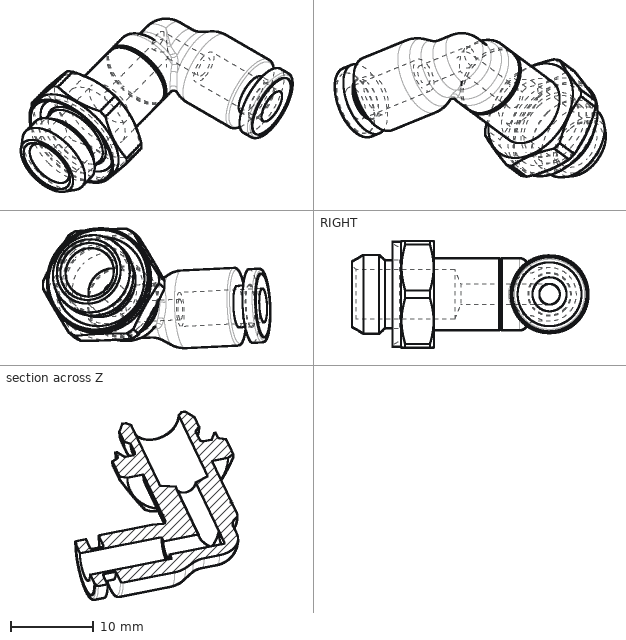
import cadquery as cq
import math

elbow_radius = 3.25

stem_radius = 8.8 / 2
shoulder_start = 1.6
shoulder_angle = 59.0
shoulder_hollow_radius = 1.4
elbow_end = 6.05
elbow_end_chamfer = 0.3
elbow_end_chamfer_depth = 0.12
stem_edge_chamfer = 0.1
stem_end = 24.0

hex_across_flats = 13.0
hex_corner_diameter = 14.5
hex_start = 14.03
hex_end = 18.03
hex_bevel_angle = 30.0
hex_face_radius = 12.8 / 2
collar_radius = hex_face_radius
collar_end = 19.1
recess_mouth_radius = 6.18
recess_floor_radius = 5.52
recess_depth = 1.12

thread_radius = 9.6 / 2
thread_neck_radius = 8.3 / 2
neck_root_bevel = 0.25
thread_start = 20.0
thread_back_bevel = 0.7
nose_radius = 4.0
nose_length = 1.38

arm_radius = 9.5 / 2
flare_start = 1.95
flare_angle = 30.0
flare_bend_radius = 3.0
arm_end = 12.97
arm_end_edge_radius = 0.25
arm_neck_radius = 5.05 / 2
ring_radius = 9.0 / 2
ring_start = 14.58
arm_tip = 16.1
ring_edge_radius = 0.23
lip_radius = 3.88
lip_height = 0.1
arm_root_chamfer = 0.12

crease_fillet = 0.5

bore_radius = 6.0 / 2
bore_mouth_radius = 3.55
bore_mouth_depth = 0.52
bore_end = 11.5
bore_cone_length = 0.72
passage_radius = 2.5 / 2
socket_radius = 4.15 / 2
socket_start = 5.75


def arc_step(angle, radius):
    """Axial and radial travel of an arc that turns from the axis direction by the angle."""
    turn = math.radians(angle)
    return radius * math.sin(turn), radius * (1 - math.cos(turn))


def revolve_stem(profile):
    """Solid of revolution about the stem axis."""
    return profile.close().revolve(360, (0, 0, 0), (0, 1, 0))


def revolve_arm(profile):
    """Solid of revolution about the arm axis."""
    return profile.close().revolve(360, (0, 0, 0), (1, 0, 0))


def elbow_stem():
    """Round end and necked shoulder of the elbow, down to its end on the stem."""
    hollow_run, hollow_rise = arc_step(shoulder_angle, shoulder_hollow_radius)
    half_hollow_run, half_hollow_rise = arc_step(shoulder_angle / 2, shoulder_hollow_radius)
    unit_run, unit_rise = arc_step(shoulder_angle, 1.0)
    half_unit_run, half_unit_rise = arc_step(shoulder_angle / 2, 1.0)
    round_radius = (stem_radius - elbow_radius - hollow_rise) / unit_rise
    shoulder_end = shoulder_start + hollow_run + round_radius * unit_run
    dome_mid = elbow_radius * math.sqrt(0.5)
    return revolve_stem(
        cq.Workplane("XY")
        .moveTo(0, elbow_radius)
        .threePointArc((dome_mid, dome_mid), (elbow_radius, 0))
        .lineTo(elbow_radius, -shoulder_start)
        .threePointArc(
            (elbow_radius + half_hollow_rise, -shoulder_start - half_hollow_run),
            (elbow_radius + hollow_rise, -shoulder_start - hollow_run),
        )
        .threePointArc(
            (stem_radius - round_radius * half_unit_rise, -shoulder_end + round_radius * half_unit_run),
            (stem_radius, -shoulder_end),
        )
        .lineTo(stem_radius, -elbow_end + elbow_end_chamfer)
        .lineTo(stem_radius - elbow_end_chamfer_depth, -elbow_end)
        .lineTo(0, -elbow_end)
    )


def arm():
    """Flared arm with its grooved release ring."""
    bend_run, bend_rise = arc_step(flare_angle, flare_bend_radius)
    half_run, half_rise = arc_step(flare_angle / 2, flare_bend_radius)
    cone_rise = arm_radius - elbow_radius - 2 * bend_rise
    cone_start = flare_start + bend_run
    cone_end = cone_start + cone_rise / math.tan(math.radians(flare_angle))
    flare_end = cone_end + bend_run
    ring_end = arm_tip - lip_height
    return revolve_arm(
        cq.Workplane("XY")
        .lineTo(0, elbow_radius)
        .lineTo(flare_start, elbow_radius)
        .threePointArc(
            (flare_start + half_run, elbow_radius + half_rise),
            (cone_start, elbow_radius + bend_rise),
        )
        .lineTo(cone_end, arm_radius - bend_rise)
        .threePointArc((flare_end - half_run, arm_radius - half_rise), (flare_end, arm_radius))
        .lineTo(arm_end - arm_end_edge_radius, arm_radius)
        .tangentArcPoint((arm_end, arm_radius - arm_end_edge_radius), relative=False)
        .lineTo(arm_end, arm_neck_radius)
        .lineTo(ring_start - arm_root_chamfer, arm_neck_radius)
        .lineTo(ring_start, arm_neck_radius + arm_root_chamfer)
        .lineTo(ring_start, ring_radius)
        .lineTo(ring_end - ring_edge_radius, ring_radius)
        .tangentArcPoint((ring_end, ring_radius - ring_edge_radius), relative=False)
        .lineTo(ring_end, lip_radius)
        .lineTo(arm_tip, lip_radius)
        .lineTo(arm_tip, 0)
    )


def stem_and_thread():
    """Plain stem, round collar and threaded end."""
    return revolve_stem(
        cq.Workplane("XY")
        .moveTo(0, -elbow_end)
        .lineTo(stem_radius - stem_edge_chamfer, -elbow_end)
        .lineTo(stem_radius, -elbow_end - stem_edge_chamfer)
        .lineTo(stem_radius, -hex_end)
        .lineTo(collar_radius, -hex_end)
        .lineTo(collar_radius, -collar_end)
        .lineTo(recess_mouth_radius, -collar_end)
        .lineTo(recess_floor_radius, -collar_end + recess_depth)
        .lineTo(thread_neck_radius + neck_root_bevel, -collar_end + recess_depth)
        .lineTo(thread_neck_radius, -collar_end + recess_depth - neck_root_bevel)
        .lineTo(thread_neck_radius, -thread_start)
        .lineTo(thread_radius, -thread_start - thread_back_bevel)
        .lineTo(thread_radius, -stem_end + nose_length)
        .lineTo(nose_radius, -stem_end)
        .lineTo(0, -stem_end)
    )


def hexagon():
    """Hexagon with turned corners and a conical bevel on both faces."""
    corner_radius = hex_corner_diameter / 2
    bevel_length = (corner_radius - hex_face_radius) * math.tan(math.radians(hex_bevel_angle))
    turned_blank = revolve_stem(
        cq.Workplane("XY")
        .moveTo(0, -hex_start)
        .lineTo(hex_face_radius, -hex_start)
        .lineTo(corner_radius, -hex_start - bevel_length)
        .lineTo(corner_radius, -hex_end + bevel_length)
        .lineTo(hex_face_radius, -hex_end)
        .lineTo(0, -hex_end)
    )
    across_corners = hex_across_flats / math.cos(math.pi / 6)
    prism = (
        cq.Workplane("XZ", origin=(0, -hex_start, 0))
        .polygon(6, across_corners)
        .extrude(hex_end - hex_start)
    )
    return prism.intersect(turned_blank)


def stem_passage():
    """Bore from the threaded end, narrowing to the passage that reaches the elbow."""
    return revolve_stem(
        cq.Workplane("XY")
        .moveTo(0, -stem_end)
        .lineTo(bore_mouth_radius, -stem_end)
        .lineTo(bore_radius, -stem_end + bore_mouth_depth)
        .lineTo(bore_radius, -bore_end)
        .lineTo(passage_radius, -bore_end + bore_cone_length)
        .lineTo(passage_radius, 0)
        .lineTo(0, 0)
    )


def arm_passage():
    """Passage from just behind the stem passage to the tube socket in the arm."""
    return revolve_arm(
        cq.Workplane("XY")
        .moveTo(-passage_radius, 0)
        .lineTo(-passage_radius, passage_radius)
        .lineTo(socket_start, passage_radius)
        .lineTo(socket_start, socket_radius)
        .lineTo(arm_tip, socket_radius)
        .lineTo(arm_tip, 0)
    )


elbow = elbow_stem().union(arm())
elbow = elbow.edges("%ELLIPSE or %BSPLINE").fillet(crease_fillet)

result = (
    elbow.union(stem_and_thread())
    .union(hexagon())
    .cut(stem_passage())
    .cut(arm_passage())
)